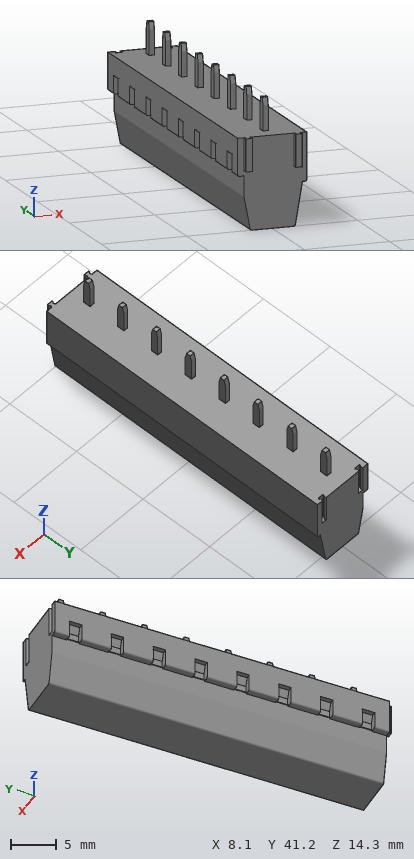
import cadquery as cq

total_length = 41.25
body_width = 8.1
body_height = 10.55
pin_height = 3.75
pin_count = 8

rail_reach = 0.58
rail_length = 3.75
rail_inset = 1.1
rail_head_width = 0.75
rail_waist_width = 0.5
rail_waist_reach = 0.2
rail_arc_reach = 0.4

body_length = total_length - rail_reach
half_width = body_width / 2
left_step_depth = 4.35
left_step_inset = 0.75
left_taper_depth = 6.72
right_step_depth = 5.55
right_step_inset = 0.5
bottom_inset_left = 1.5
bottom_inset_right = 1.35
bottom_radius = 0.25
overhang_radius = 0.2

pitch = body_length / pin_count
pin_thickness = 0.6
pin_width = 0.95
pin_tip_width = 0.55
pin_tip_height = 0.85
pin_root_depth = 0.25

window_width = 1.5
window_top_depth = 2.23
window_slope_depth = 3.2
window_sill_depth = left_step_depth - overhang_radius
window_top_inset = 0.55
window_back_inset = 0.85


def make_body():
    section = [
        (-half_width, 0),
        (half_width, 0),
        (half_width, -right_step_depth),
        (half_width - right_step_inset, -right_step_depth),
        (half_width - bottom_inset_right, -body_height),
        (-half_width + bottom_inset_left, -body_height),
        (-half_width + left_step_inset, -left_taper_depth),
        (-half_width + left_step_inset, -left_step_depth),
        (-half_width, -left_step_depth),
    ]
    body = cq.Workplane("XZ").polyline(section).close().extrude(-body_length)
    body = body.faces("<Z").edges("|Y").fillet(bottom_radius)
    for x, z in [(-half_width, -left_step_depth), (half_width, -right_step_depth)]:
        corner = cq.selectors.NearestToPointSelector((x, body_length / 2, z))
        body = body.edges(corner).fillet(overhang_radius)
    return body


def make_pin(y):
    half_pin = pin_width / 2
    half_tip = pin_tip_width / 2
    shoulder = pin_height - pin_tip_height
    outline = [
        (y - half_pin, -pin_root_depth),
        (y + half_pin, -pin_root_depth),
        (y + half_pin, shoulder),
        (y + half_tip, pin_height),
        (y - half_tip, pin_height),
        (y - half_pin, shoulder),
    ]
    return cq.Workplane("YZ").polyline(outline).close().extrude(pin_thickness / 2, both=True)


def make_window(y):
    top_back = -half_width + window_top_inset
    back = -half_width + window_back_inset
    wall = -half_width + left_step_inset
    outline = [
        (-half_width, -window_top_depth),
        (top_back, -window_top_depth),
        (back, -window_slope_depth),
        (back, -window_sill_depth),
        (wall, -window_sill_depth),
        (wall, -left_step_depth),
        (-half_width, -left_step_depth),
    ]
    window = cq.Workplane("XZ").polyline(outline).close().extrude(window_width / 2, both=True)
    return window.translate((0, y, 0))


def make_rail(x, end_y):
    """Rail with hollow sides pointing to -Y from end_y, running down from the top face."""
    half_head = rail_head_width / 2
    half_waist = rail_waist_width / 2
    rail = (
        cq.Workplane("XY")
        .moveTo(half_head, 0)
        .threePointArc((half_waist, -rail_waist_reach), (half_head, -rail_arc_reach))
        .lineTo(half_head, -rail_reach)
        .lineTo(-half_head, -rail_reach)
        .lineTo(-half_head, -rail_arc_reach)
        .threePointArc((-half_waist, -rail_waist_reach), (-half_head, 0))
        .close()
        .extrude(-rail_length)
    )
    return rail.translate((x, end_y, 0))


result = make_body()
for index in range(pin_count):
    contact_y = (index + 0.5) * pitch
    result = result.cut(make_window(contact_y)).union(make_pin(contact_y))
for side in (-1, 1):
    rail_x = side * (half_width - rail_inset)
    result = result.union(make_rail(rail_x, 0))
    result = result.cut(make_rail(rail_x, body_length))